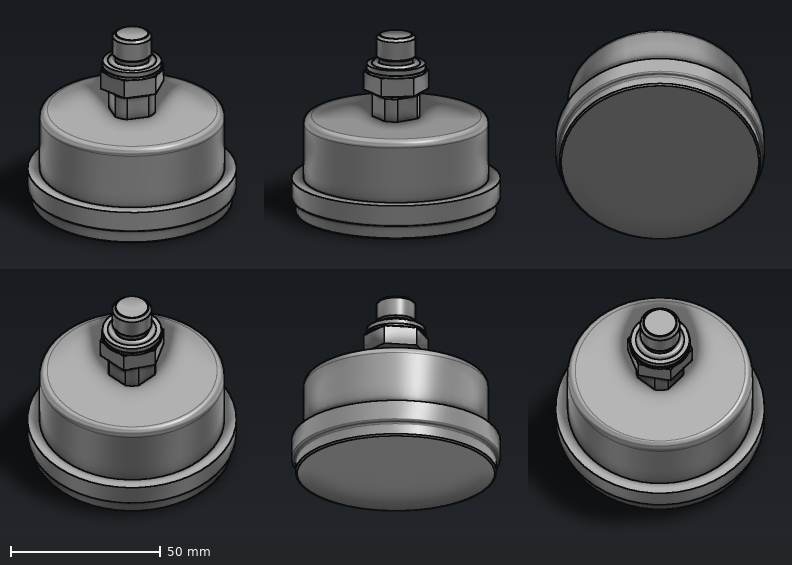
import cadquery as cq
import math

bezel_radius = 35.0
bezel_bottom = 4.9
bezel_top = 12.1
lens_ring_radius = 33.7
lens_ring_edge = 0.55
bezel_round = 0.6

case_radius = 31.0
case_top = 33.7
case_round = 2.5

shank_width = 14.0
shank_corner_radius = 8.0
shank_top = 41.5

neck_radius = 5.7

nut_across_flats = 19.05
nut_bottom = 43.0
nut_top = 49.35

washer_radius = 10.15
washer_top = 50.25
carrier_radius = 9.9
carrier_top = 52.0
seal_radius = 8.1
seal_height = 0.9

thread_radius = 6.6
thread_bottom = 54.05
thread_top = 62.0
thread_top_chamfer = 1.05
thread_bottom_chamfer = 0.6
thread_tip_bevel = 0.15


def cylinder(radius, bottom, top):
    return cq.Workplane("XY").workplane(offset=bottom).circle(radius).extrude(top - bottom)


def make_body():
    """Lens ring, bezel and case turned as one profile."""
    arc_offset = bezel_round * math.sqrt(0.5)
    step_radius = lens_ring_radius + bezel_round
    concave_bottom = bezel_bottom - bezel_round
    convex_top = bezel_bottom + bezel_round
    convex_center = bezel_radius - bezel_round
    crown_center_radius = case_radius - case_round
    crown_center_height = case_top - case_round
    crown_offset = case_round * math.sqrt(0.5)
    profile = (
        cq.Workplane("XZ")
        .lineTo(lens_ring_radius - lens_ring_edge, 0)
        .lineTo(lens_ring_radius, lens_ring_edge)
        .lineTo(lens_ring_radius, concave_bottom)
        .threePointArc(
            (step_radius - arc_offset, concave_bottom + arc_offset),
            (step_radius, bezel_bottom),
        )
        .lineTo(convex_center, bezel_bottom)
        .threePointArc(
            (convex_center + arc_offset, convex_top - arc_offset),
            (bezel_radius, convex_top),
        )
        .lineTo(bezel_radius, bezel_top)
        .lineTo(case_radius, bezel_top)
        .lineTo(case_radius, crown_center_height)
        .threePointArc(
            (crown_center_radius + crown_offset, crown_center_height + crown_offset),
            (crown_center_radius, case_top),
        )
        .lineTo(0, case_top)
        .close()
    )
    return profile.revolve(360, (0, 0, 0), (0, 1, 0))


def make_shank():
    """Square bar whose corners are turned down to a cylinder."""
    square = (
        cq.Workplane("XY")
        .workplane(offset=case_top)
        .rect(shank_width, shank_width)
        .extrude(shank_top - case_top)
    )
    return square.intersect(cylinder(shank_corner_radius, case_top, shank_top))


def make_nut():
    across_points = nut_across_flats / math.cos(math.pi / 6)
    return (
        cq.Workplane("XY")
        .workplane(offset=nut_bottom)
        .transformed(rotate=(0, 0, 90))
        .polygon(6, across_points)
        .extrude(nut_top - nut_bottom)
    )


def make_seal():
    """Ring with a domed top filling the space around the neck."""
    crest_radius = (neck_radius + seal_radius) / 2
    return (
        cq.Workplane("XZ")
        .moveTo(neck_radius, carrier_top)
        .lineTo(seal_radius, carrier_top)
        .threePointArc(
            (crest_radius, carrier_top + seal_height),
            (neck_radius, carrier_top),
        )
        .close()
        .revolve(360, (0, 0, 0), (0, 1, 0))
    )


def make_thread():
    return (
        cylinder(thread_radius, thread_bottom, thread_top)
        .faces(">Z")
        .chamfer(thread_top_chamfer)
        .faces(">Z")
        .chamfer(thread_tip_bevel)
        .faces("<Z")
        .chamfer(thread_bottom_chamfer)
    )


result = (
    make_body()
    .union(make_shank())
    .union(cylinder(neck_radius, shank_top, thread_bottom))
    .union(make_nut())
    .union(cylinder(washer_radius, nut_top, washer_top))
    .union(cylinder(carrier_radius, washer_top, carrier_top))
    .union(make_seal())
    .union(make_thread())
)